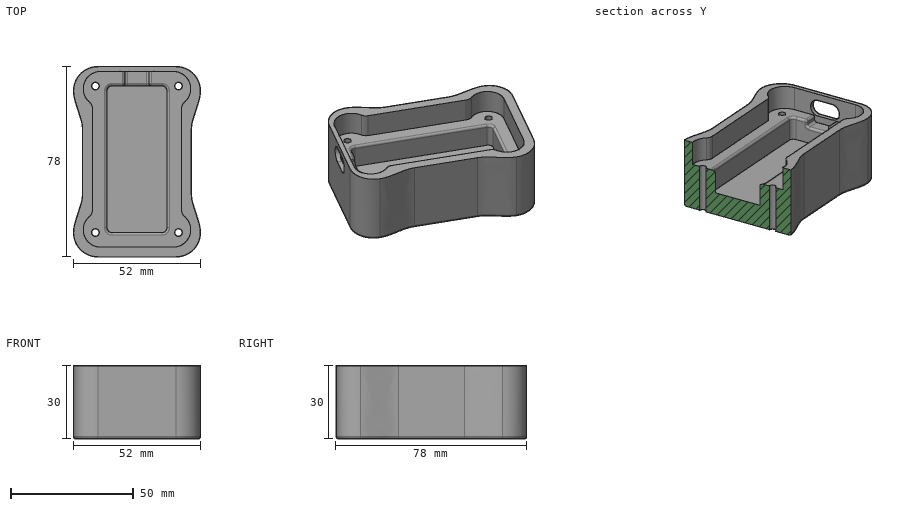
import cadquery as cq

length = 78.0
width = 52.0
height = 30.0
corner_radius = 10.0
waist_width = 44.6
waist_straight_length = 26.8
edge_radius = 1.0

cavity_center_y = 1.0
cavity_length = 71.9
cavity_width = 44.0
cavity_waist_width = 36.5
cavity_lobe_radius = 7.1
cavity_straight_length = 41.65
cavity_depth = 10.0
ledge_z = height - cavity_depth

pocket_width = 24.5
pocket_length = 60.05
pocket_corner_radius = 2.0
pocket_depth = 10.0

notch_width = 10.0
notch_depth = 3.0

slot_width = 14.0
slot_height = 7.0
slot_center_z = height - 6.4

hole_diameter = 3.0
hole_spacing_x = 34.0
hole_spacing_y = 60.0


def mirror_quarter(quarter, center_y):
    """Complete a solid from its +X, +Y quarter, mirrored about X = 0 and Y = center_y."""
    half = quarter.union(quarter.mirror("YZ"))
    return half.union(half.mirror("XZ", (0, center_y, 0))).clean()


def make_body():
    """Block whose long sides sweep smoothly in to a narrower waist."""
    side_x = width / 2
    end_y = length / 2
    waist_x = waist_width / 2
    waist_y = waist_straight_length / 2
    arc_x = side_x - corner_radius
    arc_y = end_y - corner_radius

    handle = (arc_y - waist_y) / 3
    sweep = [
        (waist_x, waist_y),
        (waist_x, waist_y + handle),
        (side_x, arc_y - handle),
        (side_x, arc_y),
    ]
    quarter = (
        cq.Workplane("XY")
        .lineTo(waist_x, 0)
        .lineTo(waist_x, waist_y)
        .bezier(sweep)
        .tangentArcPoint((arc_x, end_y), relative=False)
        .lineTo(0, end_y)
        .close()
        .extrude(height)
    )
    return mirror_quarter(quarter, 0).faces("<Z").edges().fillet(edge_radius)


def make_cavity():
    """Waisted cavity with a round lobe at each corner, blended into the straight sides."""
    lobe_x = cavity_width / 2 - cavity_lobe_radius
    lobe_y = cavity_length / 2 - cavity_lobe_radius
    waist_x = cavity_waist_width / 2
    waist_y = cavity_straight_length / 2

    across = waist_x - lobe_x
    along = lobe_y - waist_y
    blend_radius = (across**2 + along**2 - cavity_lobe_radius**2) / (2 * (cavity_lobe_radius - across))
    blend_x = waist_x + blend_radius
    lobe_share = cavity_lobe_radius / (cavity_lobe_radius + blend_radius)
    joint_x = lobe_x + (blend_x - lobe_x) * lobe_share
    joint_y = lobe_y - along * lobe_share

    quarter = (
        cq.Workplane("XY", origin=(0, cavity_center_y, ledge_z))
        .lineTo(waist_x, 0)
        .lineTo(waist_x, waist_y)
        .tangentArcPoint((joint_x, joint_y), relative=False)
        .tangentArcPoint((lobe_x, lobe_y + cavity_lobe_radius), relative=False)
        .lineTo(0, lobe_y + cavity_lobe_radius)
        .close()
        .extrude(cavity_depth)
    )
    return mirror_quarter(quarter, cavity_center_y)


def make_pocket():
    """Lower pocket with a rounded rim and a rounded notch opening into its end."""
    rim_y = cavity_center_y + pocket_length / 2
    wall_y = cavity_center_y + cavity_length / 2
    ledge = (
        cq.Workplane("XY", origin=(0, cavity_center_y, ledge_z - pocket_depth))
        .rect(cavity_waist_width, cavity_length)
        .extrude(pocket_depth)
    )
    pocket = (
        cq.Workplane("XY", origin=(0, cavity_center_y, ledge_z - pocket_depth))
        .rect(pocket_width, pocket_length)
        .extrude(pocket_depth)
        .edges("|Z")
        .fillet(pocket_corner_radius)
    )
    notch_length = wall_y - cavity_center_y
    notch = (
        cq.Workplane("XY", origin=(0, cavity_center_y + notch_length / 2, ledge_z - notch_depth))
        .rect(notch_width, notch_length)
        .extrude(notch_depth)
        .edges("|Y and <Z")
        .fillet(edge_radius)
    )
    ledge_block = ledge.cut(pocket).cut(notch)

    margin = 0.8
    rim_box = cq.selectors.BoxSelector(
        (-pocket_width / 2 - margin, -rim_y, ledge_z - notch_depth - margin),
        (pocket_width / 2 + margin, wall_y - margin, ledge_z + margin),
    )
    return ledge.cut(ledge_block.edges(rim_box).fillet(edge_radius))


def make_slot():
    """Round-ended connector opening through the thin end wall."""
    wall_y = cavity_center_y + cavity_length / 2
    return (
        cq.Workplane("XZ", origin=(0, length / 2, slot_center_z))
        .slot2D(slot_width, slot_height)
        .extrude(length / 2 - wall_y)
    )


def make_holes():
    """Screw holes running through the floor from the ledge."""
    return (
        cq.Workplane("XY", origin=(0, cavity_center_y, 0))
        .rect(hole_spacing_x, hole_spacing_y, forConstruction=True)
        .vertices()
        .circle(hole_diameter / 2)
        .extrude(height)
    )


result = make_body().cut(make_cavity()).cut(make_pocket()).cut(make_slot()).cut(make_holes())